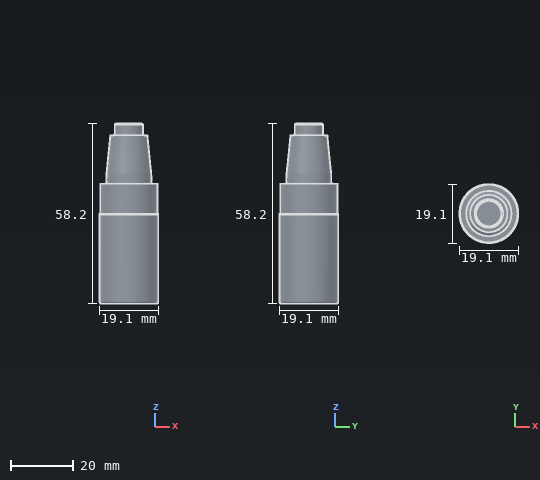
import cadquery as cq
import math

TOTAL_HEIGHT = 58.2

SLEEVE_RADIUS = 19.05 / 2
BASE_ROUND = 0.9

FLANGE_TOP = 29.1
FLANGE_THICKNESS = 0.4
COLLAR_RADIUS = 18.5 / 2
COLLAR_TOP = 38.7
NECK_FOOT_RADIUS = 7.3
TAPER_START_RADIUS = 7.2
TAPER_START = 42.2
NECK_TOP_RADIUS = 6.0
NECK_TOP = 54.3
BUTTON_RADIUS = 9.2 / 2
BUTTON_CHAMFER = 0.5
NECK_ROOT_FILLET = 0.4
BUTTON_ROOT_FILLET = 0.5

SLEEVE_HEIGHT = FLANGE_TOP - FLANGE_THICKNESS


def make_sleeve():
    """Solid cylinder with a rounded base."""
    body = cq.Workplane("XY").circle(SLEEVE_RADIUS).extrude(SLEEVE_HEIGHT)
    return body.faces("<Z").edges().fillet(BASE_ROUND)


def root_fillet_middle(radius, height, fillet):
    """Middle point of a concave fillet between a wall of this radius and a ledge at this height."""
    inset = fillet * (1 - math.sqrt(0.5))
    return (radius + inset, height + inset)


def make_cap():
    """Revolved cap; its half profile runs from the button's tip down to the flange."""
    profile = (
        cq.Workplane("XZ")
        .moveTo(0, TOTAL_HEIGHT)
        .lineTo(BUTTON_RADIUS - BUTTON_CHAMFER, TOTAL_HEIGHT)
        .lineTo(BUTTON_RADIUS, TOTAL_HEIGHT - BUTTON_CHAMFER)
        .lineTo(BUTTON_RADIUS, NECK_TOP + BUTTON_ROOT_FILLET)
        .threePointArc(
            root_fillet_middle(BUTTON_RADIUS, NECK_TOP, BUTTON_ROOT_FILLET),
            (BUTTON_RADIUS + BUTTON_ROOT_FILLET, NECK_TOP),
        )
        .lineTo(NECK_TOP_RADIUS, NECK_TOP)
        .lineTo(TAPER_START_RADIUS, TAPER_START)
        .tangentArcPoint((NECK_FOOT_RADIUS, COLLAR_TOP + NECK_ROOT_FILLET), relative=False)
        .threePointArc(
            root_fillet_middle(NECK_FOOT_RADIUS, COLLAR_TOP, NECK_ROOT_FILLET),
            (NECK_FOOT_RADIUS + NECK_ROOT_FILLET, COLLAR_TOP),
        )
        .lineTo(COLLAR_RADIUS, COLLAR_TOP)
        .lineTo(COLLAR_RADIUS, FLANGE_TOP)
        .lineTo(SLEEVE_RADIUS, FLANGE_TOP)
        .lineTo(SLEEVE_RADIUS, SLEEVE_HEIGHT)
        .lineTo(0, SLEEVE_HEIGHT)
        .close()
    )
    return profile.revolve(360, (0, 0, 0), (0, 1, 0))


sleeve = make_sleeve()
cap = make_cap()

result = cq.Compound.makeCompound([sleeve.val(), cap.val()])